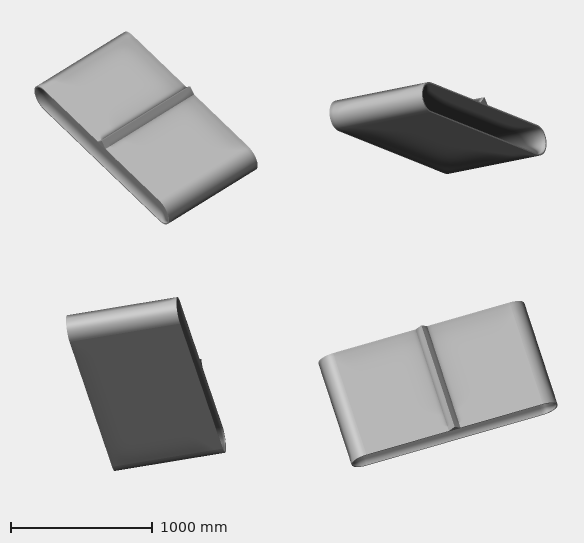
import cadquery as cq

length = 1520.0
width = 800.0
total_height = 269.0
belt_height = 220.0
wall = 10.0
ridge_base = 85.0

end_radius = belt_height / 2
straight_length = length - belt_height
ridge_height = total_height - belt_height


def stadium_prism(radius):
    """Round-ended prism along Y, centred on the origin."""
    return (
        cq.Workplane("XZ")
        .slot2D(straight_length + 2 * radius, 2 * radius)
        .extrude(width / 2, both=True)
    )


def ridge():
    """Triangular cleat across the full width of the top run."""
    root = end_radius - wall / 2
    return (
        cq.Workplane("XZ")
        .moveTo(-ridge_base / 2, root)
        .lineTo(ridge_base / 2, root)
        .lineTo(ridge_base / 2, end_radius)
        .lineTo(0, end_radius + ridge_height)
        .lineTo(-ridge_base / 2, end_radius)
        .close()
        .extrude(width / 2, both=True)
    )


belt = stadium_prism(end_radius).cut(stadium_prism(end_radius - wall))
result = belt.union(ridge())